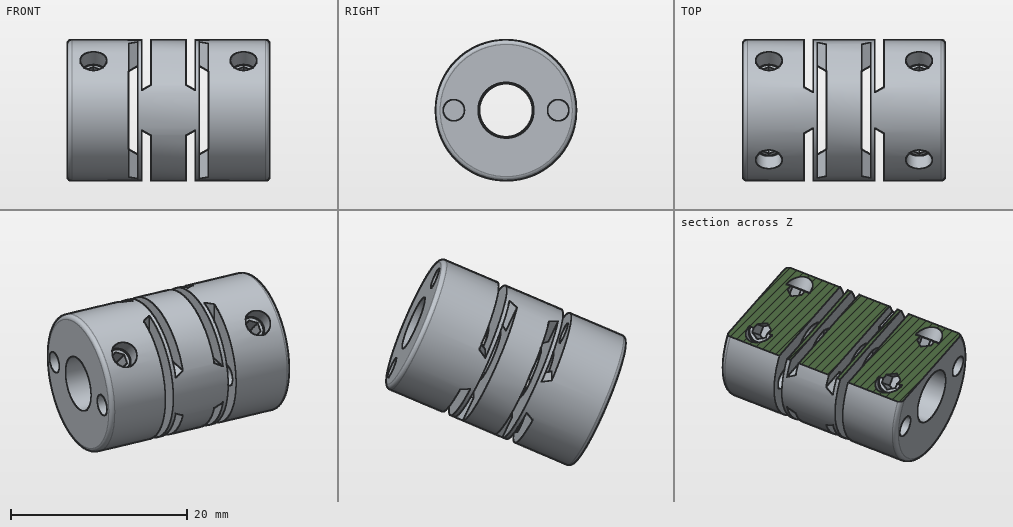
import cadquery as cq
import math

LENGTH = 23.0
BODY_RADIUS = 8.0
RIM_FILLET = 0.5

CENTRE_BORE_DIAMETER = 6.0
HUB_BORE_DIAMETER = 6.32

MIDDLE_LENGTH = 4.0
SLIT_WIDTH = 1.01
DISC_THICKNESS = 0.48
BRIDGE_TAPER = 30.0
BRIDGE_FLOOR = 4.42
OUTER_BRIDGE_HALF_WIDTH = 2.62
INNER_BRIDGE_HALF_WIDTH = 2.88

PIN_HOLE_DIAMETER = 2.42
PIN_HOLE_OFFSET = 5.9

SCREW_HOLE_DIAMETER = 3.0
SCREW_END_DISTANCE = 3.0
SCREW_ANGLE = 45.0
SCREW_FACE_RADIUS = 5.9
SCREW_CHAMFER_WIDTH = 0.15
SCREW_CHAMFER_DEPTH = 0.07
SOCKET_FLATS = 1.8
SOCKET_DEPTH = 2.5

HALF_LENGTH = LENGTH / 2
INNER_SLIT_START = MIDDLE_LENGTH / 2
OUTER_SLIT_START = INNER_SLIT_START + SLIT_WIDTH + DISC_THICKNESS
HUB_START = OUTER_SLIT_START + SLIT_WIDTH


def rod(start, end, diameter):
    """Cylinder along the X axis between two X positions."""
    return cq.Workplane("YZ", origin=(start, 0, 0)).circle(diameter / 2).extrude(end - start)


def bridge(wide_end, direction, half_width):
    """Block above the axis that narrows along X, away from its wide end."""
    block_height = 2 * BODY_RADIUS
    return (
        cq.Workplane("YZ", origin=(wide_end, 0, 0))
        .center(0, BRIDGE_FLOOR + block_height / 2)
        .rect(2 * half_width, block_height)
        .extrude(direction * SLIT_WIDTH, taper=BRIDGE_TAPER)
    )


def slit(start, wide_end, direction, half_width, angles):
    """Slit across the whole body, interrupted by bridges at the given angles about X."""
    cut = rod(start, start + SLIT_WIDTH, 3 * BODY_RADIUS)
    for angle in angles:
        cut = cut.cut(bridge(wide_end, direction, half_width).rotate((0, 0, 0), (1, 0, 0), angle))
    return cut


def pin_holes():
    """Two axial holes from the end face to the first slit."""
    return (
        cq.Workplane("YZ", origin=(HUB_START, 0, 0))
        .pushPoints([(-PIN_HOLE_OFFSET, 0), (PIN_HOLE_OFFSET, 0)])
        .circle(PIN_HOLE_DIAMETER / 2)
        .extrude(HALF_LENGTH - HUB_START)
    )


def screw_recess(angle):
    """Space above a sunken screw: the hole, the chamfer ring of the screw and its hex socket."""
    screw_x = HALF_LENGTH - SCREW_END_DISTANCE
    hole_radius = SCREW_HOLE_DIAMETER / 2
    face = cq.Workplane("XY", origin=(screw_x, 0, SCREW_FACE_RADIUS))
    hole = face.circle(hole_radius).extrude(BODY_RADIUS)
    chamfer_core = (
        face.circle(hole_radius - SCREW_CHAMFER_WIDTH)
        .workplane(offset=-SCREW_CHAMFER_DEPTH)
        .circle(hole_radius)
        .loft()
    )
    chamfer_ring = face.circle(hole_radius).extrude(-SCREW_CHAMFER_DEPTH).cut(chamfer_core)
    socket_corners = SOCKET_FLATS / math.cos(math.radians(30))
    socket = (
        face.transformed(rotate=(0, 0, 90))
        .polygon(6, socket_corners)
        .extrude(-SOCKET_DEPTH)
    )
    recess = hole.union(chamfer_ring).union(socket)
    return recess.rotate((0, 0, 0), (1, 0, 0), angle)


def half_cuts():
    """Every cut on the +X half of the coupling."""
    outer_slit = slit(OUTER_SLIT_START, HUB_START, -1, OUTER_BRIDGE_HALF_WIDTH, (0, 180))
    inner_slit = slit(INNER_SLIT_START, INNER_SLIT_START, 1, INNER_BRIDGE_HALF_WIDTH, (90, 270))
    hub_bore = rod(HUB_START, HALF_LENGTH, HUB_BORE_DIAMETER)
    screws = [screw_recess(angle) for angle in (-SCREW_ANGLE, SCREW_ANGLE)]
    return [outer_slit, inner_slit, hub_bore, pin_holes()] + screws


body = rod(-HALF_LENGTH, HALF_LENGTH, 2 * BODY_RADIUS).edges().fillet(RIM_FILLET)
body = body.cut(rod(-HALF_LENGTH, HALF_LENGTH, CENTRE_BORE_DIAMETER))
for cut in half_cuts():
    body = body.cut(cut).cut(cut.mirror("YZ"))

result = body